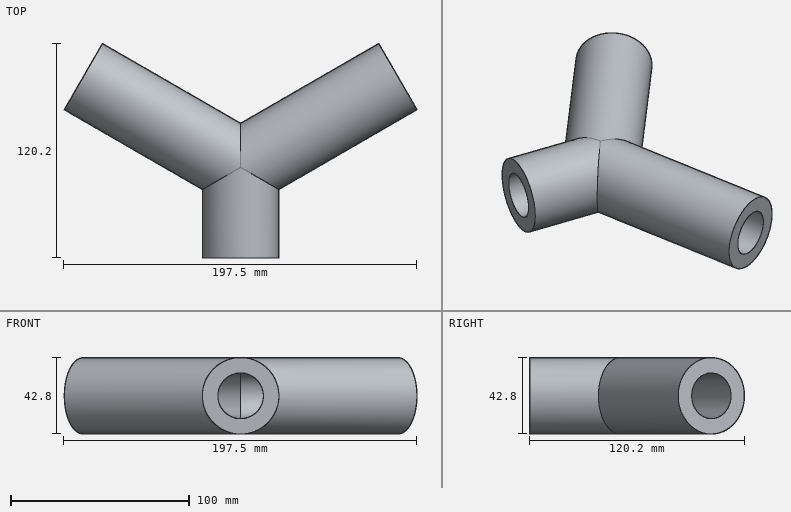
import cadquery as cq
import math

overall_width = 197.5
outer_diameter = 42.8
bore_diameter = 25.5

long_arm_angles = (30, 150)
short_arm_angle = 270

tilt = math.radians(long_arm_angles[0])
corner_offset = outer_diameter / 2 * math.sin(tilt)
long_arm_length = (overall_width / 2 - corner_offset) / math.cos(tilt)
short_arm_length = long_arm_length / 2

arms = [(angle, long_arm_length) for angle in long_arm_angles]
arms.append((short_arm_angle, short_arm_length))


def rod(diameter, length, angle):
    """Cylinder from the origin, at an angle in degrees from +X."""
    return (
        cq.Workplane("YZ")
        .circle(diameter / 2)
        .extrude(length)
        .rotate((0, 0, 0), (0, 0, 1), angle)
    )


def join_rods(diameter):
    """Rods of one diameter along all three arms, meeting at the origin."""
    joined = cq.Workplane("XY")
    for angle, length in arms:
        joined = joined.add(rod(diameter, length, angle))
    return joined.combine()


result = join_rods(outer_diameter).cut(join_rods(bore_diameter))